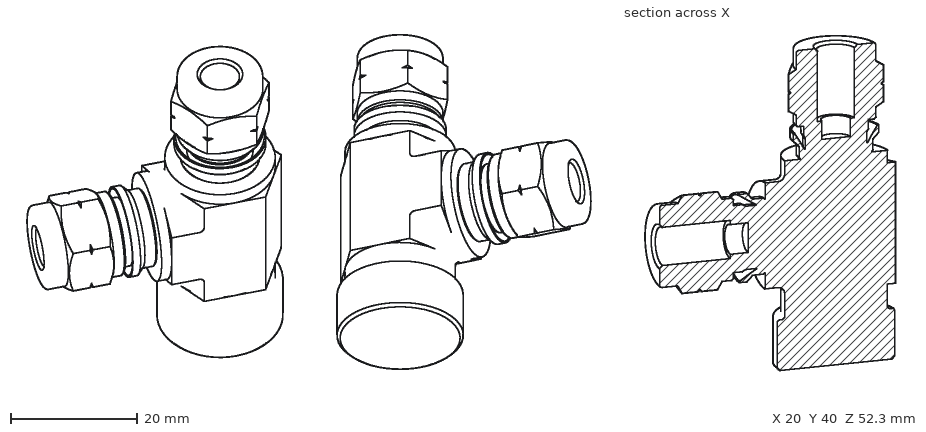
import cadquery as cq
import math

body_across_flats = 17.5
run_hex_half_length = 10.0
branch_hex_length = 10.4
body_cylinder_length = 12.05
body_fillet_radius = 1.0

neck_diameter = 12.6
neck_chamfer = 0.25
flange_start = 14.1
flange_diameter = 14.6
flange_end = 16.35
flange_recess_diameter = 14.0
flange_recess_bottom = 13.5
thread_diameter = 11.11
thread_start = 15.9
relief_diameter = 10.5
relief_end = 15.3
nut_collar_start = 17.35
nut_collar_diameter = 13.6
nut_collar_inner_chamfer = 0.3
nut_collar_outer_fillet = 0.5
connection_length = 29.945

nut_across_flats = 14.0
nut_hex_start = 19.3
nut_hex_end = 26.85
nut_corner_angle = 30.0
nut_groove_depth = 0.42
nut_groove_angle = 60.0

bore_diameter = 6.2
bore_depth = 12.0
bore_chamfer = 0.5
pilot_diameter = 4.8
pilot_depth = 15.0

collar_diameter = 20.0
overall_height = 52.34
collar_top = -14.0
collar_top_fillet = 0.45
collar_bottom_chamfer = 0.5
shoulder_fillet = 0.5

half_hex_step = 30.0
edge_tolerance = 0.01

collar_bottom = connection_length - overall_height
body_radius = body_across_flats / 2


def corner_radius(across_flats):
    return across_flats / math.sqrt(3)


def cylinder(diameter, start, end):
    return cq.Workplane("XY").workplane(offset=start).circle(diameter / 2).extrude(end - start)


def revolved(points):
    """Solid of revolution about Z from (radius, height) points."""
    return cq.Workplane("XZ").polyline(points).close().revolve(360, (0, 0, 0), (0, 1, 0))


def hex_prism(across_flats, start, end):
    """Hexagonal bar along Z with corners on the Y axis."""
    prism = cq.Workplane("XY").workplane(offset=start)
    prism = prism.polygon(6, 2 * corner_radius(across_flats)).extrude(end - start)
    return prism.rotate((0, 0, 0), (0, 0, 1), 90)


def to_branch(solid):
    """Turn a solid built along +Z so that it points along -Y."""
    return solid.rotate((0, 0, 0), (1, 0, 0), 90)


def body_bar(start, end, rear_corner_kept):
    """Body hexagon without its -Y corner, and without its +Y corner unless that is kept.

    Each missing corner ends where the flats touch the body cylinder, which closes the gap.
    """
    corner = corner_radius(body_across_flats)
    tangent_x = body_radius * math.sin(math.radians(half_hex_step))
    tangent_y = body_radius * math.cos(math.radians(half_hex_step))
    front = [(-tangent_x, -tangent_y), (tangent_x, -tangent_y), (body_radius, -corner / 2)]
    rear = [(tangent_x, tangent_y), (-tangent_x, tangent_y)]
    if rear_corner_kept:
        rear = [(0, corner)]
    sides = [(body_radius, corner / 2)] + rear + [(-body_radius, corner / 2), (-body_radius, -corner / 2)]
    bar = cq.Workplane("XY").workplane(offset=start)
    return bar.polyline(front + sides).close().extrude(end - start)


def in_valley(edge):
    """True for edges on the mitre planes where the branch bar meets the run bar."""
    centre = edge.Center()
    front_of_axis = centre.y < -body_radius / 2
    return front_of_axis and abs(centre.y + abs(centre.z)) < edge_tolerance


def tee_body():
    run = body_bar(-run_hex_half_length, run_hex_half_length, True)
    run = run.union(cylinder(body_across_flats, collar_top, body_cylinder_length))
    branch = body_bar(0, branch_hex_length, False)
    branch = branch.union(cylinder(body_across_flats, 0, body_cylinder_length))
    body = run.union(to_branch(branch))
    valley_edges = [edge for edge in body.edges().vals() if in_valley(edge)]
    return body.newObject(valley_edges).fillet(body_fillet_radius)


def lower_collar():
    shoulder_radius = body_radius + shoulder_fillet
    shoulder_top = collar_top + shoulder_fillet
    shoulder = cylinder(2 * shoulder_radius, collar_top, shoulder_top)
    fillet_ring = cq.Workplane("XZ").center(shoulder_radius, shoulder_top).circle(shoulder_fillet)
    axis_offset = -shoulder_radius
    shoulder = shoulder.cut(fillet_ring.revolve(360, (axis_offset, 0, 0), (axis_offset, 1, 0)))
    collar = cylinder(collar_diameter, collar_bottom, collar_top)
    collar = collar.faces(">Z").edges().fillet(collar_top_fillet)
    collar = collar.faces("<Z").edges().chamfer(collar_bottom_chamfer)
    return collar.union(shoulder)


def stem():
    """Neck, conical flange with a tapered recess in its face, and thread running under the nut."""
    neck_radius = neck_diameter / 2
    flange_radius = flange_diameter / 2
    cone_end = flange_start + flange_radius - neck_radius
    return revolved([
        (0, 0),
        (neck_radius - neck_chamfer, 0),
        (neck_radius - neck_chamfer, body_cylinder_length),
        (neck_radius, body_cylinder_length + neck_chamfer),
        (neck_radius, flange_start),
        (flange_radius, cone_end),
        (flange_radius, flange_end),
        (flange_recess_diameter / 2, flange_end),
        (relief_diameter / 2, flange_recess_bottom),
        (relief_diameter / 2, relief_end),
        (thread_diameter / 2, thread_start),
        (thread_diameter / 2, nut_collar_start),
        (0, nut_collar_start),
    ])


def nut_hex():
    corner = corner_radius(nut_across_flats)
    inner_edge = nut_collar_diameter / 2
    chamfer_height = (corner - inner_edge) * math.tan(math.radians(nut_corner_angle))
    turned_blank = revolved([
        (0, nut_hex_start),
        (inner_edge, nut_hex_start),
        (corner, nut_hex_start + chamfer_height),
        (corner, nut_hex_end - chamfer_height),
        (inner_edge, nut_hex_end),
        (0, nut_hex_end),
    ])
    middle = (nut_hex_start + nut_hex_end) / 2
    groove_half_width = nut_groove_depth * math.tan(math.radians(nut_groove_angle / 2))
    groove = revolved([
        (corner - nut_groove_depth, middle),
        (corner + nut_groove_depth, middle - 2 * groove_half_width),
        (corner + nut_groove_depth, middle + 2 * groove_half_width),
    ])
    return hex_prism(nut_across_flats, nut_hex_start, nut_hex_end).intersect(turned_blank).cut(groove)


def nut():
    collar = cylinder(nut_collar_diameter, nut_collar_start, connection_length)
    collar = collar.faces(">Z").edges().fillet(nut_collar_outer_fillet)
    collar = collar.faces("<Z").edges().chamfer(nut_collar_inner_chamfer)
    return collar.union(nut_hex())


def tube_bore():
    bore_radius = bore_diameter / 2
    bore_floor = connection_length - bore_depth
    pilot_floor = connection_length - pilot_depth
    return revolved([
        (0, pilot_floor),
        (pilot_diameter / 2, pilot_floor),
        (pilot_diameter / 2, bore_floor),
        (bore_radius, bore_floor),
        (bore_radius, connection_length - bore_chamfer),
        (bore_radius + bore_chamfer, connection_length),
        (0, connection_length),
    ])


def tube_connection():
    return stem().union(nut()).cut(tube_bore())


connection = tube_connection()
result = tee_body().union(lower_collar()).union(connection).union(to_branch(connection))